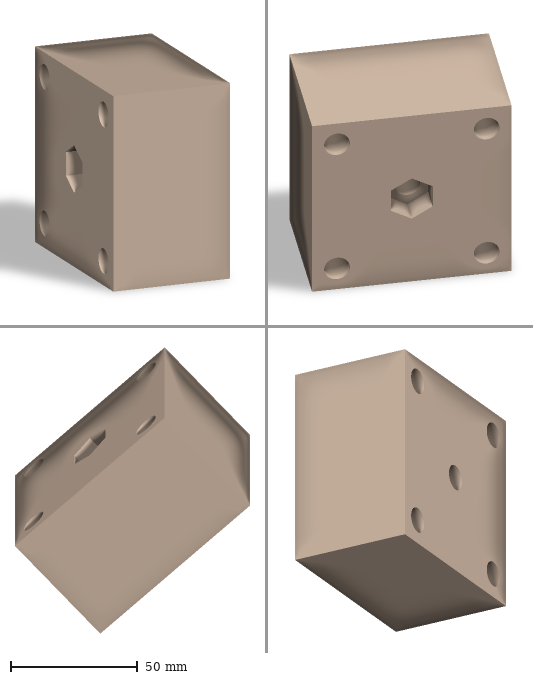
import cadquery as cq
import math

side = 80.0
thickness = 50.0

hole_diameter = 10.3
corner_inset = 10.0
hole_spacing = side - 2 * corner_inset

nut_across_flats = 16.8
nut_across_corners = nut_across_flats / math.cos(math.pi / 6)
nut_depth = 10.0


def make_block():
    return cq.Workplane("XY").box(side, thickness, side)


def cut_through_holes(body):
    face = body.faces("<Y").workplane(centerOption="CenterOfBoundBox")
    return (
        face.rect(hole_spacing, hole_spacing, forConstruction=True)
        .vertices()
        .circle(hole_diameter / 2)
        .moveTo(0, 0)
        .circle(hole_diameter / 2)
        .cutThruAll()
    )


def cut_nut_pocket(body):
    face = body.faces("<Y").workplane(centerOption="CenterOfBoundBox")
    return face.transformed(rotate=(0, 0, 90)).polygon(6, nut_across_corners).cutBlind(-nut_depth)


result = cut_nut_pocket(cut_through_holes(make_block()))